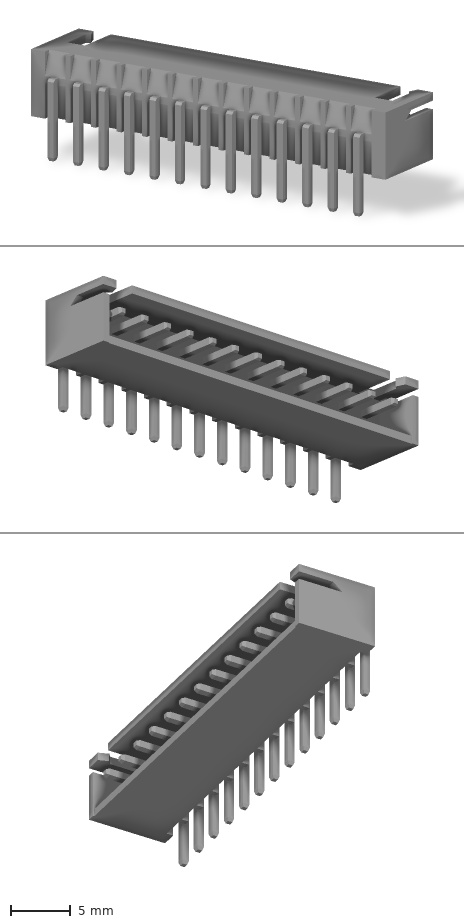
import cadquery as cq

length = 35.15
depth = 7.3
height = 5.85

pin_count = 13
pin_pitch = 2.53
pin_width = 0.65
pin_reach = 0.75
pin_top = -2.1
pin_bottom = -9.2
pin_end_gap = 0.15
pin_bend_chamfer = 0.2
pin_tip_length = 0.3
pin_tip_bevel = 0.1

recess_width = 2.05
recess_depth = 0.65
upper_recess_end = -2.1
lower_recess_start = -2.75

side_wall = 0.67
top_wall = 0.75
bottom_wall = 0.7
cavity_depth = 4.2
bottom_lip_setback = 0.1

window_inset = 1.45
window_width = 1.75
window_depth = 4.0

barb_root = 0.05
barb_height = 0.35
barb_peak = 0.9
barb_end = 1.2

slot_top = -top_wall
slot_bottom = -1.48
slot_top_depth = 3.3
slot_bottom_depth = cavity_depth

half_length = length / 2
pin_centres = [(i - (pin_count - 1) / 2) * pin_pitch for i in range(pin_count)]


def box(x_range, y_range, z_range):
    """Axis-aligned block between the given limits."""
    x0, x1 = x_range
    y0, y1 = y_range
    z0, z1 = z_range
    return cq.Workplane("XY").box(x1 - x0, y1 - y0, z1 - z0, centered=False).translate((x0, y0, z0))


def side_prism(points, width):
    """Prism with a (y, z) outline, centred on x = 0."""
    return cq.Workplane("YZ").polyline(points).close().extrude(width / 2, both=True)


def make_cavity():
    """Cavity open at the mouth, with the bottom wall set back slightly from the mouth plane."""
    inner_half = half_length - side_wall
    cavity_floor = -height + bottom_wall
    cavity = box((-inner_half, inner_half), (depth - cavity_depth, depth), (cavity_floor, -top_wall))
    lip = box((-inner_half, inner_half), (depth - bottom_lip_setback, depth), (-height, cavity_floor))
    return cavity.union(lip)


def make_window():
    """Window at the -X end; the barb stays behind as part of the top wall."""
    outer_edge = -half_length + window_inset
    outline = [
        (outer_edge + barb_root, depth),
        (outer_edge + barb_height, depth - barb_peak),
        (outer_edge, depth - barb_end),
        (outer_edge, depth - window_depth),
        (outer_edge + window_width, depth - window_depth),
        (outer_edge + window_width, depth),
    ]
    return cq.Workplane("XY").polyline(outline).close().extrude(-top_wall)


def make_end_slot():
    """Cutter running the full length, so both end walls are slotted alike."""
    outline = [
        (depth, slot_top),
        (depth - slot_top_depth, slot_top),
        (depth - slot_bottom_depth, slot_bottom),
        (depth, slot_bottom),
    ]
    return side_prism(outline, length)


def make_recesses():
    """Pair of wedges that fade out at the front face on either side of a pin."""
    upper = side_prism([(0, 0), (recess_depth, 0), (0, upper_recess_end)], recess_width)
    lower = side_prism([(0, -height), (recess_depth, -height), (0, lower_recess_start)], recess_width)
    return upper.union(lower)


def tapered_tip():
    """Square pin end that narrows along +Z from z = 0."""
    end_width = pin_width - 2 * pin_tip_bevel
    return (
        cq.Workplane("XY").rect(pin_width, pin_width)
        .workplane(offset=pin_tip_length).rect(end_width, end_width)
        .loft(ruled=True)
    )


def make_pin():
    """Right-angle pin: contact leg along +Y, solder leg down -Z, chamfered outer bend."""
    half_width = pin_width / 2
    leg_front = -pin_reach
    leg_back = leg_front + pin_width
    contact_end = depth - pin_end_gap - pin_tip_length
    leg_end = pin_bottom + pin_tip_length
    contact = box((-half_width, half_width), (leg_front, contact_end), (pin_top - pin_width, pin_top))
    leg = box((-half_width, half_width), (leg_front, leg_back), (leg_end, pin_top))
    bent = contact.union(leg).edges("<Y and >Z").chamfer(pin_bend_chamfer)
    contact_tip = tapered_tip().rotate((0, 0, 0), (1, 0, 0), -90)
    leg_tip = tapered_tip().rotate((0, 0, 0), (1, 0, 0), 180)
    bent = bent.union(contact_tip.translate((0, contact_end, pin_top - half_width)))
    return bent.union(leg_tip.translate((0, leg_front + half_width, leg_end)))


window = make_window()
housing = box((-half_length, half_length), (0, depth), (-height, 0))
housing = housing.cut(make_cavity()).cut(make_end_slot())
housing = housing.cut(window).cut(window.mirror("YZ"))

recesses = make_recesses()
pin = make_pin()
for x in pin_centres:
    housing = housing.cut(recesses.translate((x, 0, 0)))
    housing = housing.union(pin.translate((x, 0, 0)))

result = housing